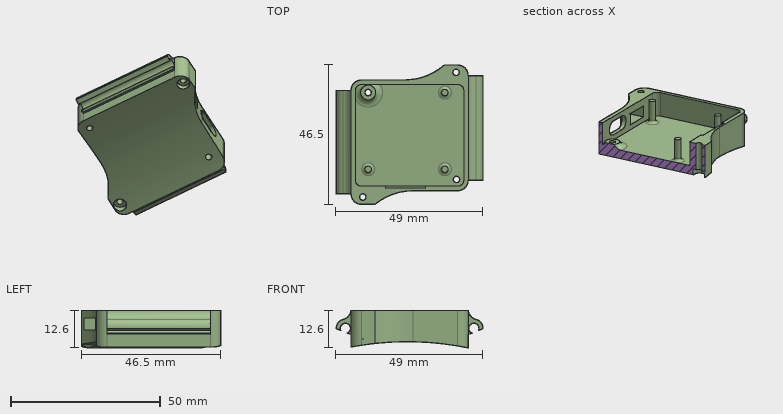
import cadquery as cq
import math


overall_length = 49.0
overall_width = 46.5
body_half_width = 19.55
back_y = 18.3
front_y = -18.7
ear_tip_y = overall_width / 2
corner_radius = 3.55
ear_curve_radius = 20.0
rear_ear_inner_x = 11.55
front_ear_inner_x = -11.55

total_height = 12.55
arch_radius = 100.0
arch_apex_x = -0.75
arch_rise = arch_radius - math.sqrt(arch_radius**2 - (body_half_width - arch_apex_x)**2)
arch_apex_z = arch_rise - total_height

cavity_half_width = 18.1
cavity_back_y = 16.7
cavity_front_y = -17.15
cavity_depth = 8.4
cavity_corner_radius = 2.0

post_spacing = 25.6
post_left_x = -13.8
post_back_y = 14.05
post_right_x = post_left_x + post_spacing
post_front_y = post_back_y - post_spacing
post_radius = 1.1
post_height = 7.8
post_fillet = 1.1
boss_radius = 2.5
boss_height = 1.5
boss_flare_radius = 2.5

hole_radius = 1.05
ear_hole_points = [(15.5, 20.8), (-15.6, -20.8)]
floor_hole_points = [(15.65, -14.9), (post_left_x, post_back_y)]
counterbore_radius = 2.15
counterbore_top_z = -9.5

window_left_x = 2.0
window_right_x = 10.45
window_back_y = 22.5
window_top_z = -2.6
window_bottom_z = -6.55
slot_centre_x = -6.1
slot_centre_z = -4.1
slot_length = 10.5
slot_height = 4.9
recess_left_x = -8.0
recess_right_x = 5.3
recess_depth = 0.7

clip_outer_radius = 3.1
clip_bore_radius = 1.65
clip_centre_x = overall_length / 2 - clip_outer_radius
clip_centre_z = -6.0
clip_blend_radius = 3.5
clip_foot_z = -7.9
clip_mouth_angle = 22
clip_mouth_offset = 1.25


def block(x0, x1, y0, y1, z0, z1):
    return cq.Workplane("XY").box(x1 - x0, y1 - y0, z1 - z0, centered=False).translate((x0, y0, z0))


def ear_run(step):
    """Length of an ear's flank arc, which starts tangent to the wall and steps outward."""
    return math.sqrt(2 * ear_curve_radius * step - step**2)


def make_shell():
    rear_run = ear_run(ear_tip_y - back_y)
    front_run = ear_run(ear_tip_y + front_y)
    outline = (
        cq.Workplane("XY", origin=(0, 0, -total_height))
        .moveTo(-body_half_width, -ear_tip_y)
        .lineTo(front_ear_inner_x, -ear_tip_y)
        .radiusArc((front_ear_inner_x + front_run, front_y), ear_curve_radius)
        .lineTo(body_half_width, front_y)
        .lineTo(body_half_width, ear_tip_y)
        .lineTo(rear_ear_inner_x, ear_tip_y)
        .radiusArc((rear_ear_inner_x - rear_run, back_y), ear_curve_radius)
        .lineTo(-body_half_width, back_y)
        .close()
        .extrude(total_height)
    )
    corners = outline.edges("|Z and (<X or >X)")
    arch = (
        cq.Workplane("XZ", origin=(arch_apex_x, 0, arch_apex_z - arch_radius))
        .circle(arch_radius)
        .extrude(overall_width, both=True)
    )
    return corners.fillet(corner_radius).cut(arch)


def make_cavity():
    cavity = block(-cavity_half_width, cavity_half_width, cavity_front_y, cavity_back_y, -cavity_depth, 0)
    return cavity.edges("|Z").fillet(cavity_corner_radius)


def make_flared_pin(x, y, radius, height, flare_radius):
    """Round pin on the cavity floor whose foot flares out tangent to the floor."""
    flare_height = min(flare_radius, height)
    flare_run = math.sqrt(flare_radius**2 - (flare_radius - flare_height)**2)
    profile = (
        cq.Workplane("XZ")
        .lineTo(radius + flare_run, 0)
        .radiusArc((radius, flare_height), flare_radius)
    )
    if height > flare_height:
        profile = profile.lineTo(radius, height)
    pin = profile.lineTo(0, height).close().revolve(360, (0, 0, 0), (0, 1, 0))
    return pin.translate((x, y, -cavity_depth))


def make_right_clip(y0, y1):
    """Clip on the +X side: a hook around the rod, blended up into the rim."""
    wall_x = body_half_width
    blend_x = wall_x + clip_blend_radius
    centre_gap = clip_outer_radius + clip_blend_radius
    blend_z = clip_centre_z + math.sqrt(centre_gap**2 - (blend_x - clip_centre_x)**2)
    tangent_share = clip_outer_radius / centre_gap
    tangent_x = clip_centre_x + (blend_x - clip_centre_x) * tangent_share
    tangent_z = clip_centre_z + (blend_z - clip_centre_z) * tangent_share

    def cylinder(x, z, radius):
        return cq.Workplane("XZ", origin=(x, y1, z)).circle(radius).extrude(y1 - y0)

    web = block(wall_x, tangent_x, y0, y1, tangent_z, 0).cut(cylinder(blend_x, blend_z, clip_blend_radius))
    lower_web = block(wall_x, clip_centre_x, y0, y1, clip_foot_z, tangent_z)
    hook = cylinder(clip_centre_x, clip_centre_z, clip_outer_radius)
    outside = block(wall_x, overall_length, y0, y1, clip_foot_z, 0)
    clip = hook.union(lower_web).union(web).intersect(outside)
    mouth_size = 4 * clip_outer_radius
    mouth = (
        block(-mouth_size, mouth_size, y0, y1, -mouth_size, -clip_mouth_offset)
        .rotate((0, 0, 0), (0, 1, 0), -clip_mouth_angle)
        .translate((clip_centre_x, 0, clip_centre_z))
    )
    return clip.cut(mouth).cut(cylinder(clip_centre_x, clip_centre_z, clip_bore_radius))


def make_slot():
    return (
        cq.Workplane("XZ", origin=(slot_centre_x, back_y, slot_centre_z))
        .slot2D(slot_length, slot_height)
        .extrude(back_y - cavity_back_y)
    )


def make_holes(points, radius, top_z):
    return (
        cq.Workplane("XY", origin=(0, 0, -total_height))
        .pushPoints(points)
        .circle(radius)
        .extrude(total_height + top_z)
    )


cavity = make_cavity()
result = make_shell().cut(cavity)

post_points = [
    (post_right_x, post_back_y),
    (post_left_x, post_front_y),
    (post_right_x, post_front_y),
]
for x, y in post_points:
    result = result.union(make_flared_pin(x, y, post_radius, post_height, post_fillet))
boss = make_flared_pin(post_left_x, post_back_y, boss_radius, boss_height, boss_flare_radius)
result = result.union(boss.intersect(cavity))

right_clip = make_right_clip(front_y + corner_radius, ear_tip_y - corner_radius)
left_clip = make_right_clip(corner_radius - ear_tip_y, back_y - corner_radius).mirror("YZ")
result = result.union(right_clip).union(left_clip)

result = result.cut(
    block(window_left_x, window_right_x, cavity_back_y, window_back_y, window_bottom_z, window_top_z)
)
result = result.cut(make_slot())
result = result.cut(
    block(recess_left_x, recess_right_x, cavity_front_y - recess_depth, cavity_front_y, window_bottom_z, 0)
)

result = result.cut(make_holes(ear_hole_points + floor_hole_points, hole_radius, 0))
result = result.cut(make_holes(ear_hole_points, counterbore_radius, counterbore_top_z))